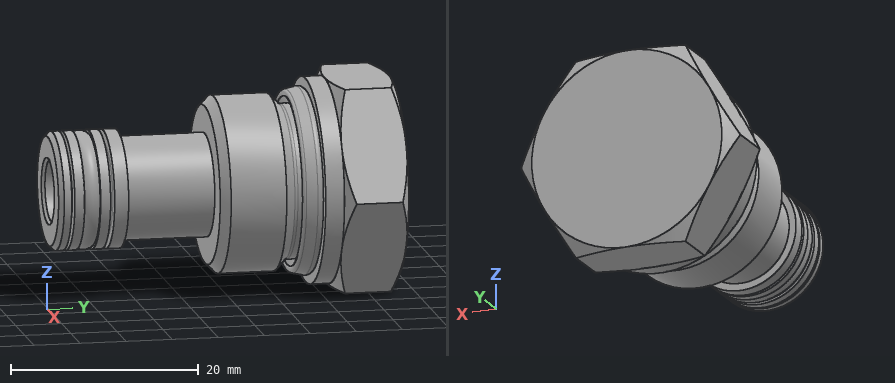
import cadquery as cq
import math

overall_length = 37.0

hex_across_flats = 22.25
hex_thickness = 7.0
hex_chamfer_angle = 30.0

collar_radius = 11.1
collar_length = 2.05

seal_radius = 10.1
seal_length = 2.2
seal_taper_depth = 0.25
seal_back_radius = 9.88
seal_back_round_length = 0.65
seal_back_round_radius = 0.65
seal_lip_outer_height = 0.35
seal_lip_apex_radius = 9.47
seal_lip_inner_radius = 9.1
seal_lip_inner_height = 0.2
seal_hollow_depth = 0.6

body_radius = 9.55
body_front_y = 17.02
body_back_y = 24.05
body_chamfer = 1.0
neck_radius = 8.32
neck_fillet_radius = 0.5

stem_radius = 5.6
nose_radius = 6.4
nose_length = 7.5
nose_chamfer = 0.5

groove_radius = 5.0
groove_front_y = 1.35
groove_back_y = 6.0
groove_fillet_radius = 0.25
front_backup_y = 1.65
back_backup_y = 4.48
backup_width = 1.07
o_ring_edge_radius = 6.03

bore_radius = 3.25
bore_chamfer = 0.35
bore_depth = body_front_y
drill_point_angle = 118.0

hex_front_y = overall_length - hex_thickness
collar_front_y = hex_front_y - collar_length


def revolve(profile):
    """Close a half profile drawn in XY and turn it around the Y axis."""
    return profile.close().revolve(360, (0, 0, 0), (0, 1, 0))


def disc(radius, start_y, length):
    """Plain cylinder along Y."""
    return cq.Workplane("XZ", origin=(0, start_y, 0)).circle(radius).extrude(-length)


def make_head():
    """Hexagon with flats facing up and down, its corners turned off by a cone at each end."""
    flat_radius = hex_across_flats / 2
    corner_radius = flat_radius / math.cos(math.radians(30))
    chamfer_height = (corner_radius - flat_radius) * math.tan(math.radians(hex_chamfer_angle))
    prism = (
        cq.Workplane("XZ", origin=(0, hex_front_y, 0))
        .polygon(6, 2 * corner_radius)
        .extrude(-hex_thickness)
    )
    envelope = revolve(
        cq.Workplane("XY")
        .moveTo(0, hex_front_y)
        .lineTo(flat_radius, hex_front_y)
        .lineTo(corner_radius, hex_front_y + chamfer_height)
        .lineTo(corner_radius, overall_length - chamfer_height)
        .lineTo(flat_radius, overall_length)
        .lineTo(0, overall_length)
    )
    return prism.intersect(envelope)


def make_nose():
    """Nose land with a chamfered front edge and a groove with rounded floor corners."""
    land = disc(nose_radius, 0, nose_length).faces("<Y").chamfer(nose_chamfer)
    floor_corner = groove_radius + groove_fillet_radius
    groove = revolve(
        cq.Workplane("XY")
        .moveTo(nose_radius, groove_front_y)
        .lineTo(floor_corner, groove_front_y)
        .radiusArc((groove_radius, groove_front_y + groove_fillet_radius), groove_fillet_radius)
        .lineTo(groove_radius, groove_back_y - groove_fillet_radius)
        .radiusArc((floor_corner, groove_back_y), groove_fillet_radius)
        .lineTo(nose_radius, groove_back_y)
    )
    return land.cut(groove)


def make_nose_seals():
    """Two backup rings and the O-ring bulging between them, seated on the groove floor."""
    o_ring_front_y = front_backup_y + backup_width
    o_ring_middle_y = (o_ring_front_y + back_backup_y) / 2
    back_end_y = back_backup_y + backup_width
    return revolve(
        cq.Workplane("XY")
        .moveTo(groove_radius, front_backup_y)
        .lineTo(nose_radius, front_backup_y)
        .lineTo(nose_radius, o_ring_front_y)
        .lineTo(o_ring_edge_radius, o_ring_front_y)
        .threePointArc((nose_radius, o_ring_middle_y), (o_ring_edge_radius, back_backup_y))
        .lineTo(nose_radius, back_backup_y)
        .lineTo(nose_radius, back_end_y)
        .lineTo(groove_radius, back_end_y)
    )


def make_body():
    """Body with a front chamfer and a 45 degree back cone blended into the relief neck."""
    fillet_rise = neck_fillet_radius * (1 - math.cos(math.radians(45)))
    fillet_run = neck_fillet_radius * math.sin(math.radians(45))
    cone_end_radius = neck_radius + fillet_rise
    cone_end_y = body_back_y + body_radius - cone_end_radius
    return revolve(
        cq.Workplane("XY")
        .moveTo(0, body_front_y)
        .lineTo(body_radius - body_chamfer, body_front_y)
        .lineTo(body_radius, body_front_y + body_chamfer)
        .lineTo(body_radius, body_back_y)
        .lineTo(cone_end_radius, cone_end_y)
        .radiusArc((neck_radius, cone_end_y + fillet_run), neck_fillet_radius)
        .lineTo(neck_radius, collar_front_y)
        .lineTo(0, collar_front_y)
    )


def make_seal_ring():
    """Ring that narrows toward the nose, its rounded front lip hollowed in toward the neck."""
    front_y = collar_front_y - seal_length
    return revolve(
        cq.Workplane("XY")
        .moveTo(neck_radius, front_y + seal_hollow_depth)
        .lineTo(seal_lip_inner_radius, front_y + seal_lip_inner_height)
        .threePointArc(
            (seal_lip_apex_radius, front_y),
            (seal_radius - seal_taper_depth, front_y + seal_lip_outer_height),
        )
        .lineTo(seal_radius, collar_front_y - seal_back_round_length)
        .radiusArc((seal_back_radius, collar_front_y), -seal_back_round_radius)
        .lineTo(neck_radius, collar_front_y)
    )


def make_bore():
    """Drilled hole with a chamfered mouth and a conical bottom."""
    point_height = bore_radius / math.tan(math.radians(drill_point_angle / 2))
    return revolve(
        cq.Workplane("XY")
        .lineTo(bore_radius + bore_chamfer, 0)
        .lineTo(bore_radius, bore_chamfer)
        .lineTo(bore_radius, bore_depth)
        .lineTo(0, bore_depth + point_height)
    )


collar = disc(collar_radius, collar_front_y, collar_length)
stem = disc(stem_radius, nose_length, body_front_y - nose_length)

result = (
    make_head()
    .union(collar)
    .union(make_seal_ring())
    .union(make_body())
    .union(stem)
    .union(make_nose())
    .union(make_nose_seals())
    .cut(make_bore())
)